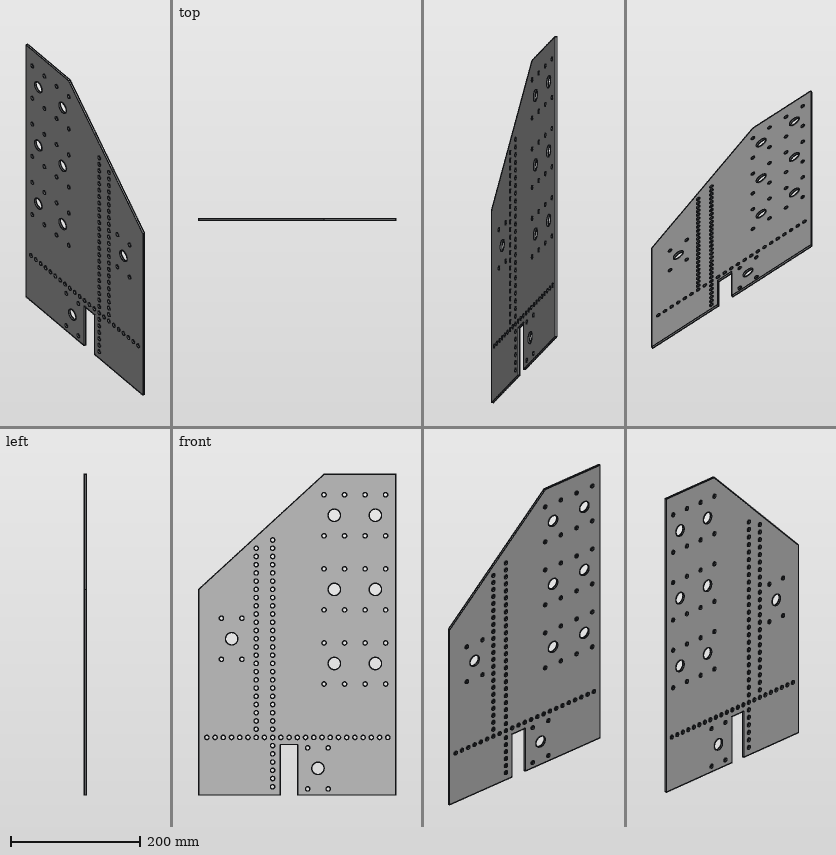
import cadquery as cq

height = 495.5
width = 304.5
thickness = 3.15

left_edge_height = 317.5
top_edge_start = 193.5

slot_center_x = 139.5
slot_width = 26.5
slot_depth = 78.0

small_diameter = 6.5
grid_pitch = height / 39
row_level = 7
row_last = 23
short_column = 7
short_column_last = 30
long_column = 9
long_column_last = 31

large_diameter = 19.0
bolt_spacing_x = 31.5
bolt_spacing_z = 63.5
bank_x = 209.5
bank_z = 203.0
bank_spacing_x = 63.5
bank_spacing_z = 114.5
bank_columns = 2
bank_rows = 3
left_mount = (51.0, 241.0)
bottom_mount = (184.3, 41.0)


def make_plate():
    """Plate with a sloped corner and a slot open at the bottom."""
    slot_left = slot_center_x - slot_width / 2
    slot_right = slot_center_x + slot_width / 2
    outline = [
        (0, 0),
        (slot_left, 0),
        (slot_left, slot_depth),
        (slot_right, slot_depth),
        (slot_right, 0),
        (width, 0),
        (width, height),
        (top_edge_start, height),
        (0, left_edge_height),
    ]
    return cq.Workplane("XZ").polyline(outline).close().extrude(thickness / 2, both=True)


def through_holes(centers, diameter):
    """Cylinders that reach past both faces of the plate."""
    return cq.Workplane("XZ").pushPoints(centers).circle(diameter / 2).extrude(thickness, both=True)


def grid_centers():
    """Centers of the row and the two columns, each grid place used once."""
    row = [(step, row_level) for step in range(1, row_last + 1)]
    short = [(short_column, step) for step in range(row_level + 1, short_column_last + 1)]
    long = [(long_column, step) for step in range(1, long_column_last + 1) if step != row_level]
    return [(x * grid_pitch, z * grid_pitch) for x, z in row + short + long]


def mount_centers():
    """Centers of the large holes."""
    bank = [
        (bank_x + column * bank_spacing_x, bank_z + level * bank_spacing_z)
        for column in range(bank_columns)
        for level in range(bank_rows)
    ]
    return bank + [left_mount, bottom_mount]


def bolt_centers():
    """Centers of the four small holes around each large hole."""
    return [
        (x + side * bolt_spacing_x / 2, z + end * bolt_spacing_z / 2)
        for x, z in mount_centers()
        for side in (-1, 1)
        for end in (-1, 1)
    ]


small_holes = through_holes(grid_centers() + bolt_centers(), small_diameter)
large_holes = through_holes(mount_centers(), large_diameter)
result = make_plate().cut(small_holes).cut(large_holes)